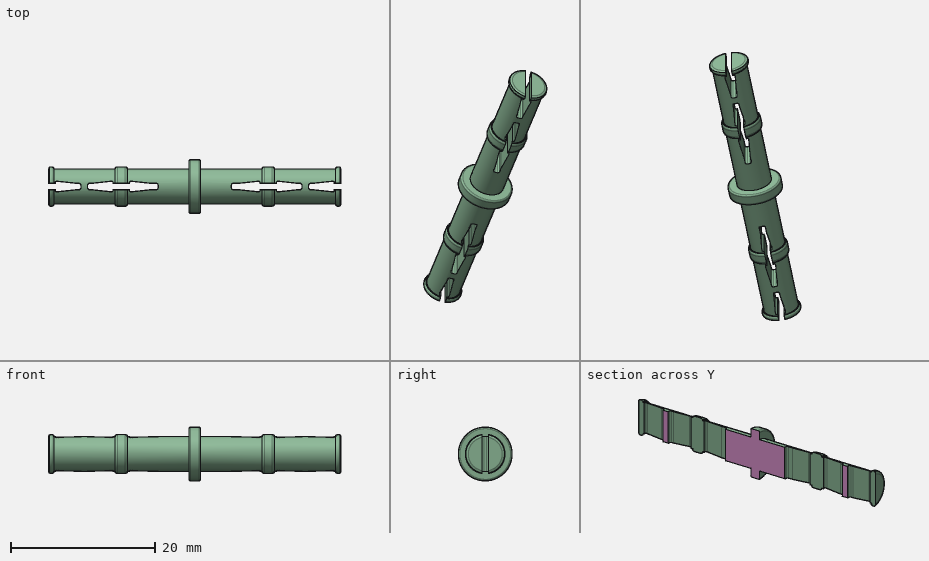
import cadquery as cq
import math

pin_length = 40.6
half_length = pin_length / 2
body_diameter = 4.88

flange_diameter = 7.5
flange_width = 1.6
flange_fillet = 0.23

snap_diameter = 5.5
ring_centre = 10.2
ring_width = 1.72
ring_flat_width = 0.98
crown_radius = 0.5
rim_width = 0.75
rim_crown_setback = rim_width / 2
rim_nose_length = 0.13
end_face_diameter = 4.7

gap_width = 0.85
pocket_width = 1.4
pocket_straight_length = 0.4
pocket_taper_length = 2.55
tip_width = 0.86
tip_fillet = 0.25
shoulder_fillet = 0.12
ring_gap_half_length = 1.15
rim_gap_length = 0.96
short_pocket_length = 3.52
long_pocket_length = 3.95

gap_overrun = 1.0


def disc(start_x, diameter, width):
    """Cylinder along X, starting at start_x."""
    return cq.Workplane("YZ", origin=(start_x, 0, 0)).circle(diameter / 2).extrude(width)


def flange():
    """Stop flange with both rims rounded."""
    blank = disc(-flange_width / 2, flange_diameter, flange_width)
    return blank.edges().fillet(flange_fillet)


def crown_height(run):
    """Radius of the snap surface at a distance run along X from the top of its crown arc."""
    return snap_diameter / 2 - crown_radius + math.sqrt(crown_radius**2 - run**2)


def snap_ring():
    """Ring with a central flat and a crown arc falling away on each side."""
    half_width = ring_width / 2
    half_flat = ring_flat_width / 2
    crown_run = half_width - half_flat
    side_radius = crown_height(crown_run)
    mid_arc_x = half_flat + crown_run / 2
    mid_arc_radius = crown_height(crown_run / 2)
    profile = (
        cq.Workplane("XY", origin=(ring_centre, 0, 0))
        .moveTo(-half_width, 0)
        .lineTo(-half_width, side_radius)
        .threePointArc((-mid_arc_x, mid_arc_radius), (-half_flat, crown_height(0)))
        .lineTo(half_flat, crown_height(0))
        .threePointArc((mid_arc_x, mid_arc_radius), (half_width, side_radius))
        .lineTo(half_width, 0)
        .close()
    )
    return profile.revolve(360, (0, 0), (1, 0))


def end_rim():
    """Rim with one crown arc, led in by a nose arc that is tangent to the flat end face."""
    crown_x = half_length - rim_crown_setback
    inner_x = half_length - rim_width
    nose_x = half_length - rim_nose_length
    profile = (
        cq.Workplane("XY")
        .moveTo(half_length, 0)
        .lineTo(half_length, end_face_diameter / 2)
        .tangentArcPoint((nose_x, crown_height(nose_x - crown_x)), relative=False)
        .threePointArc((crown_x, crown_height(0)), (inner_x, crown_height(inner_x - crown_x)))
        .lineTo(inner_x, 0)
        .close()
    )
    return profile.revolve(360, (0, 0), (1, 0))


def tapered_pocket(start_x, direction, length):
    """Pocket running from its wide shoulder at start_x along X, towards +X or -X, to a rounded tip."""
    taper_start = start_x + direction * pocket_straight_length
    taper_end = taper_start + direction * pocket_taper_length
    tip_x = start_x + direction * length
    outline = [
        (start_x, -pocket_width / 2),
        (taper_start, -pocket_width / 2),
        (taper_end, -tip_width / 2),
        (tip_x, -tip_width / 2),
        (tip_x, tip_width / 2),
        (taper_end, tip_width / 2),
        (taper_start, pocket_width / 2),
        (start_x, pocket_width / 2),
    ]
    pocket = cq.Workplane("XY").polyline(outline).close().extrude(flange_diameter / 2, both=True)
    tip_side, shoulder_side = (">X", "<X") if direction > 0 else ("<X", ">X")
    pocket = pocket.faces(tip_side).edges("|Z").fillet(tip_fillet)
    return pocket.faces(shoulder_side).edges("|Z").fillet(shoulder_fillet)


def straight_gap(start_x, end_x):
    """Narrow parallel gap between start_x and end_x."""
    length = end_x - start_x
    return cq.Workplane("XY").box(length, gap_width, flange_diameter).translate((start_x + length / 2, 0, 0))


def end_slot():
    """Slot open at the free end, with one pocket pointing inward."""
    pocket_start = half_length - rim_gap_length
    pocket = tapered_pocket(pocket_start, -1, short_pocket_length)
    return pocket.union(straight_gap(pocket_start - gap_overrun, half_length + gap_overrun))


def ring_slot():
    """Closed slot under the snap ring, with a pocket on either side of it."""
    outer_start = ring_centre + ring_gap_half_length
    inner_start = ring_centre - ring_gap_half_length
    outer_pocket = tapered_pocket(outer_start, 1, short_pocket_length)
    inner_pocket = tapered_pocket(inner_start, -1, long_pocket_length)
    gap = straight_gap(inner_start - gap_overrun, outer_start + gap_overrun)
    return gap.union(outer_pocket).union(inner_pocket)


def slotted_arm():
    """Half of the pin on the +X side, without the flange."""
    shaft = disc(0, body_diameter, half_length - rim_width / 2)
    plain_arm = shaft.union(snap_ring()).union(end_rim())
    return plain_arm.cut(end_slot()).cut(ring_slot())


right_arm = slotted_arm()
left_arm = right_arm.mirror("YZ")
result = flange().union(right_arm).union(left_arm)